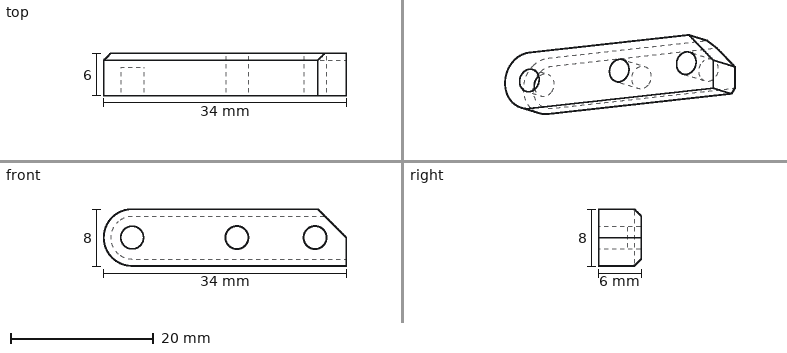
import cadquery as cq

length = 34.0
thickness = 6.0
height = 8.0
end_radius = height / 2
corner_cut = height / 2
edge_chamfer = 1.0

hole_diameter = 3.2
through_hole_positions = (18.65, 29.6)
blind_hole_depth = 4.0


def bar_body():
    """Bar with a rounded left end and a sloped upper right corner."""
    return (
        cq.Workplane("XZ")
        .moveTo(end_radius, end_radius)
        .lineTo(length - corner_cut, end_radius)
        .lineTo(length, end_radius - corner_cut)
        .lineTo(length, -end_radius)
        .lineTo(end_radius, -end_radius)
        .threePointArc((0, 0), (end_radius, end_radius))
        .close()
        .extrude(-thickness)
    )


def chamfer_back_edges(body):
    """Bevel the back rim along the top, the rounded end and the bottom."""
    straight_edges = body.faces(">Y").edges("|X")
    round_edge = body.faces(">Y").edges("%CIRCLE")
    return straight_edges.add(round_edge).chamfer(edge_chamfer)


def hole(x, depth):
    """Round cutter entering from the front face."""
    return cq.Workplane("XZ").center(x, 0).circle(hole_diameter / 2).extrude(-depth)


result = chamfer_back_edges(bar_body())
for x in through_hole_positions:
    result = result.cut(hole(x, thickness))
result = result.cut(hole(end_radius, blind_hole_depth))